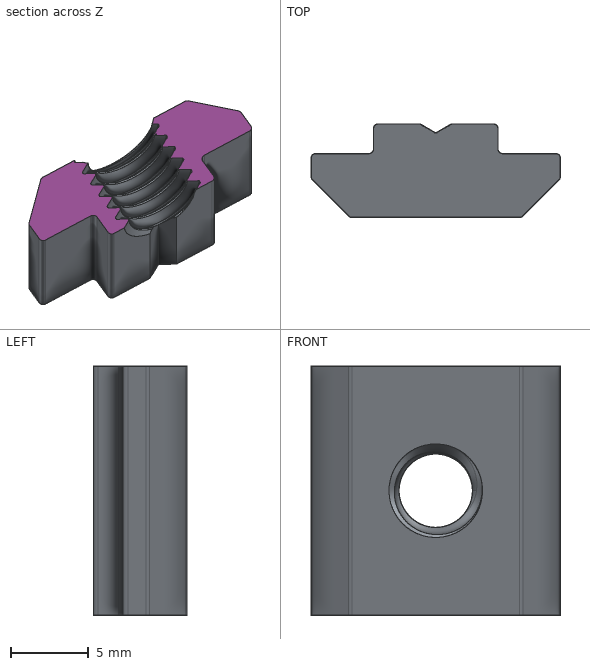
import cadquery as cq
import math

WIDTH = 16.0
THICKNESS = 6.0
LENGTH = 16.0
TONGUE_WIDTH = 8.0
TONGUE_HEIGHT = 1.9
CHAMFER = 2.5
EDGE_RADIUS = 0.3

GROOVE_WIDTH = 2.0
GROOVE_ANGLE = 120.0
GROOVE_DEPTH = GROOVE_WIDTH / 2 / math.tan(math.radians(GROOVE_ANGLE / 2))

MAJOR_RADIUS = 3.0
PITCH = 1.0
THREAD_ANGLE = 60.0
FLANK_SLOPE = math.tan(math.radians(THREAD_ANGLE / 2))
ROOT_FLAT = PITCH / 8
CREST_FLAT = PITCH / 8
THREAD_DEPTH = (PITCH - ROOT_FLAT - CREST_FLAT) / 2 / FLANK_SLOPE
MINOR_RADIUS = MAJOR_RADIUS - THREAD_DEPTH
THREAD_START = 0.1
CUT_OVERLAP = 0.1
LEAD_TURNS = 1


def make_body():
    half_width = WIDTH / 2
    half_tongue = TONGUE_WIDTH / 2
    wing_y = THICKNESS - TONGUE_HEIGHT
    right_half = [
        (half_width - CHAMFER, 0),
        (half_width, CHAMFER),
        (half_width, wing_y),
        (half_tongue, wing_y),
        (half_tongue, THICKNESS),
    ]
    left_half = [(-x, y) for x, y in reversed(right_half)]
    block = (
        cq.Workplane("XY")
        .polyline(right_half + left_half)
        .close()
        .extrude(LENGTH / 2, both=True)
    )
    return block.edges("|Z").fillet(EDGE_RADIUS)


def make_groove():
    return (
        cq.Workplane("XY")
        .moveTo(-GROOVE_WIDTH / 2, THICKNESS)
        .lineTo(0, THICKNESS - GROOVE_DEPTH)
        .lineTo(GROOVE_WIDTH / 2, THICKNESS)
        .close()
        .extrude(LENGTH / 2, both=True)
    )


def make_bore():
    """Bore at the minor diameter with a 45 degree lead-in at the front face."""
    return (
        cq.Workplane("XY")
        .polyline([
            (0, 0),
            (MAJOR_RADIUS, 0),
            (MINOR_RADIUS, THREAD_DEPTH),
            (MINOR_RADIUS, THICKNESS),
            (0, THICKNESS),
        ])
        .close()
        .revolve(360, (0, 0, 0), (0, 1, 0))
    )


def make_thread():
    """Right-hand helical groove, built along +Z and then turned onto +Y."""
    start = THREAD_START - LEAD_TURNS * PITCH
    height = THICKNESS + 2 * LEAD_TURNS * PITCH
    inner_radius = MINOR_RADIUS - CUT_OVERLAP
    inner_half = ROOT_FLAT / 2 + (MAJOR_RADIUS - inner_radius) * FLANK_SLOPE
    profile = (
        cq.Workplane("XZ")
        .polyline([
            (inner_radius, -inner_half),
            (MAJOR_RADIUS, -ROOT_FLAT / 2),
            (MAJOR_RADIUS, ROOT_FLAT / 2),
            (inner_radius, inner_half),
        ])
        .close()
    )
    helix = cq.Wire.makeHelix(PITCH, height, MAJOR_RADIUS)
    thread = profile.sweep(cq.Workplane(helix), isFrenet=True)
    return thread.rotate((0, 0, 0), (1, 0, 0), -90).translate((0, start, 0))


result = make_body().cut(make_groove()).cut(make_thread()).cut(make_bore())